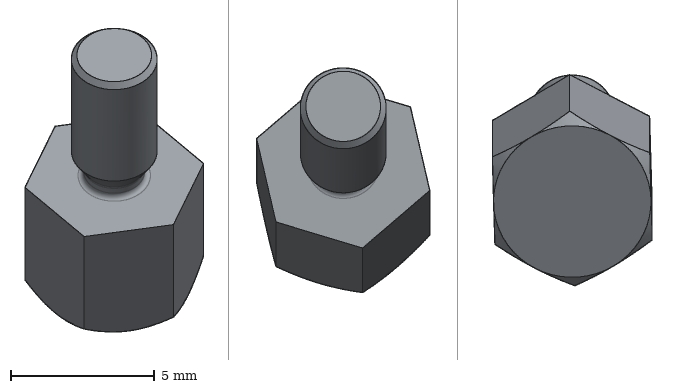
import cadquery as cq
import math

total_height = 11.0
hex_height = 5.0
across_flats = 5.5
stud_diameter = 3.0
tip_chamfer = 0.2
neck_diameter = 2.13
neck_fillet = 0.2
runout_angle = math.radians(30)
runout_fillet = 0.2
stud_bottom = 6.25
corner_chamfer_height = 0.4

across_corners = across_flats / math.cos(math.radians(30))
hex_radius = across_corners / 2
bevel_radius = across_flats / 2
stud_radius = stud_diameter / 2
neck_radius = neck_diameter / 2
runout_start = stud_bottom - (stud_radius - neck_radius) / math.tan(runout_angle)
blend_start = runout_start - runout_fillet * math.tan(runout_angle / 2)


def blend_point(angle):
    """Point on the neck-to-cone blend where its tangent leans out by angle."""
    return (
        neck_radius + runout_fillet * (1 - math.cos(angle)),
        blend_start + runout_fillet * math.sin(angle),
    )


def make_hex_body():
    """Hexagonal prism with corners on X, its bottom corners turned to a cone."""
    prism = cq.Workplane("XY").polygon(6, across_corners).extrude(hex_height)
    envelope = (
        cq.Workplane("XZ")
        .lineTo(bevel_radius, 0)
        .lineTo(hex_radius, corner_chamfer_height)
        .lineTo(hex_radius, hex_height)
        .lineTo(0, hex_height)
        .close()
        .revolve(360, (0, 0), (0, 1))
    )
    return prism.intersect(envelope)


def make_stud():
    """Revolved stud: filleted neck, blended conical run-out, cylinder and bevelled tip."""
    arc_offset = neck_fillet * (1 - math.sqrt(0.5))
    return (
        cq.Workplane("XZ")
        .moveTo(0, hex_height)
        .lineTo(neck_radius + neck_fillet, hex_height)
        .threePointArc(
            (neck_radius + arc_offset, hex_height + arc_offset),
            (neck_radius, hex_height + neck_fillet),
        )
        .lineTo(neck_radius, blend_start)
        .threePointArc(blend_point(runout_angle / 2), blend_point(runout_angle))
        .lineTo(stud_radius, stud_bottom)
        .lineTo(stud_radius, total_height - tip_chamfer)
        .lineTo(stud_radius - tip_chamfer, total_height)
        .lineTo(0, total_height)
        .close()
        .revolve(360, (0, 0), (0, 1))
    )


result = make_hex_body().union(make_stud())